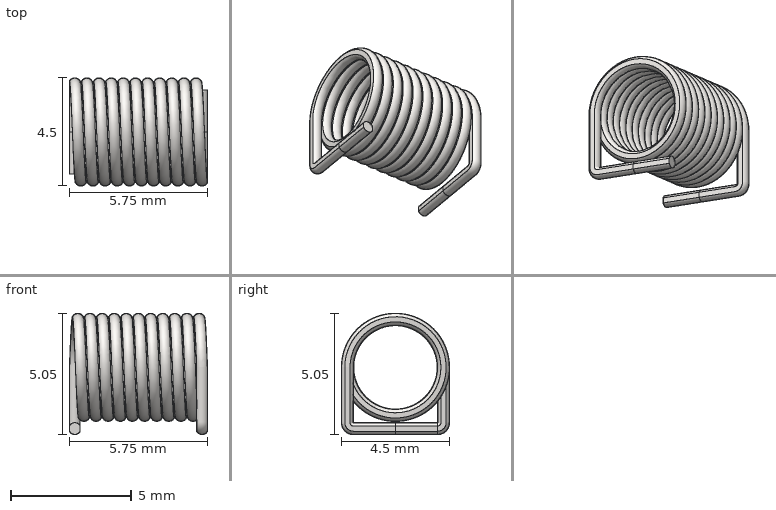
import cadquery as cq
import math

wire_diameter = 0.5
wire_width = 0.45

overall_length = 5.75
coil_outer_diameter = 4.5
turns = 10.5

overall_height = 5.05
inner_bend_radius = 0.002

wire_radius = wire_diameter / 2
half_width = wire_width / 2
half_flat = math.sqrt(wire_radius**2 - half_width**2)
coil_radius = coil_outer_diameter / 2 - wire_radius
coil_length = overall_length - wire_width
pitch = coil_length / turns
start_x = -coil_length / 2
bend_radius = wire_radius + inner_bend_radius
foot_z = coil_outer_diameter / 2 - overall_height + wire_radius
leg_drop = -foot_z - bend_radius
inner_foot_length = coil_radius - bend_radius
terminal_length = coil_radius - wire_radius


def wire_section(plane):
    """Wire cross-section with its flats square to the plane's local X."""
    return (
        cq.Workplane(plane)
        .moveTo(-half_width, -half_flat)
        .threePointArc((0, -wire_radius), (half_width, -half_flat))
        .lineTo(half_width, half_flat)
        .threePointArc((0, wire_radius), (-half_width, half_flat))
        .close()
    )


def make_winding():
    """Helical turns, from the +Y side at the -X end to the -Y side at the +X end."""
    axis_start = cq.Plane(origin=(start_x, 0, 0), xDir=(0, 1, 0), normal=(1, 0, 0))
    helix = cq.Wire.makeHelix(pitch, coil_length, coil_radius).moved(cq.Location(axis_start))
    start_section = cq.Plane(origin=(start_x, coil_radius, 0), xDir=(1, 0, 0), normal=(0, 0, 1))
    return wire_section(start_section).sweep(cq.Workplane(helix), isFrenet=True)


def make_leg():
    """Straight drop, tight bend and inner half of the foot at the -X end of the coil."""
    leg_top = cq.Plane(origin=(start_x, coil_radius, 0), xDir=(1, 0, 0), normal=(0, 0, 1))
    drop = wire_section(leg_top).extrude(-leg_drop)

    bend_start = cq.Plane(origin=(start_x, coil_radius, -leg_drop), xDir=(1, 0, 0), normal=(0, 0, 1))
    bend = wire_section(bend_start).revolve(90, (0, -bend_radius), (-1, -bend_radius))

    foot_middle = cq.Plane(origin=(start_x, 0, foot_z), xDir=(1, 0, 0), normal=(0, -1, 0))
    inner_foot = wire_section(foot_middle).extrude(-inner_foot_length)
    return drop.union(bend).union(inner_foot)


def make_terminal():
    """Outer half of the foot at the -X end, from the coil's middle plane to the wire tip."""
    foot_middle = cq.Plane(origin=(start_x, 0, foot_z), xDir=(1, 0, 0), normal=(0, -1, 0))
    return wire_section(foot_middle).extrude(terminal_length)


coil = make_winding()
terminals = []
for turn_angle in (0, 180):
    coil = coil.union(make_leg().rotate((0, 0, 0), (0, 0, 1), turn_angle))
    terminals.append(make_terminal().rotate((0, 0, 0), (0, 0, 1), turn_angle))

result = cq.Compound.makeCompound([coil.val(), *[terminal.val() for terminal in terminals]])